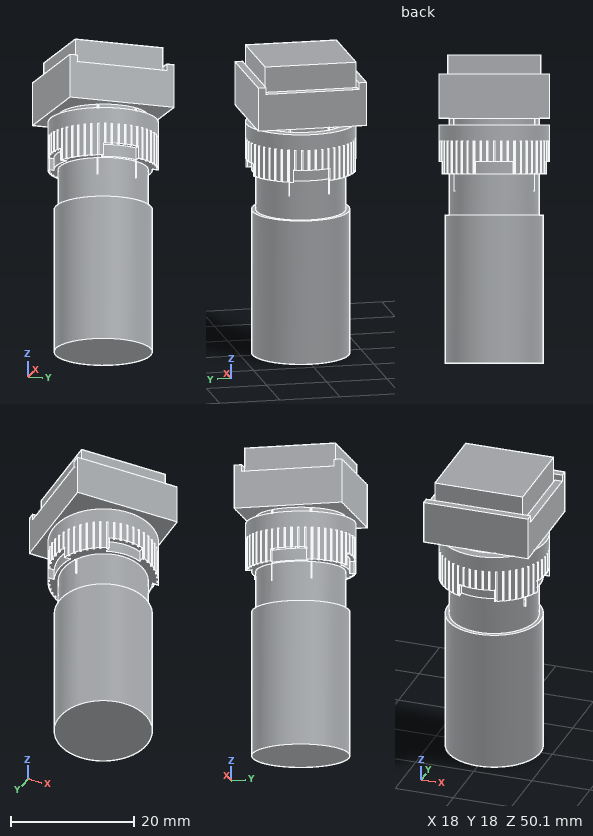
import cadquery as cq
import math

TOTAL_HEIGHT = 50.1
BARREL_TOP = 24.05
SLIT_BOTTOM = 28.0
COLLAR_BOTTOM = 30.75
NOTCH_TOP = 32.8
GROOVE_TOP = 36.1
COLLAR_TOP = 38.75
HEAD_BOTTOM = 39.8
RECESS_FLOOR = 45.9
HEAD_TOP = 47.0

BARREL_DIAMETER = 16.0
NECK_DIAMETER = 14.7

HEAD_SIDE = 18.0
RECESS_WIDTH = 15.45
CAP_SIDE = 15.15
CAP_GAP_DEPTH = 0.5

COLLAR_DIAMETER = HEAD_SIDE
SLEEVE_DIAMETER = BARREL_DIAMETER
NOTCH_WIDTH = 6.0
GROOVE_COUNT = 50
GROOVE_WIDTH = 0.225
GROOVE_DEPTH = 0.25

TONGUE_WIDTH = 6.7
LOWER_SLIT_WIDTH = 0.1
UPPER_SLIT_WIDTH = 0.25
SLIT_DEPTH = 0.2


def cylinder(diameter, bottom, top):
    return cq.Workplane("XY").workplane(offset=bottom).circle(diameter / 2).extrude(top - bottom)


def block(x_size, y_size, bottom, top):
    return cq.Workplane("XY").workplane(offset=bottom).rect(x_size, y_size).extrude(top - bottom)


def make_body():
    barrel = cylinder(BARREL_DIAMETER, 0, BARREL_TOP)
    neck = cylinder(NECK_DIAMETER, BARREL_TOP, HEAD_BOTTOM)
    lower_slits = make_slits(LOWER_SLIT_WIDTH, SLIT_BOTTOM, COLLAR_BOTTOM)
    upper_slits = make_slits(UPPER_SLIT_WIDTH, COLLAR_BOTTOM, HEAD_BOTTOM)
    return barrel.union(neck.cut(lower_slits).cut(upper_slits))


def make_slits(width, bottom, top):
    """Four slits whose outer walls lie at half the tongue width from the X axis."""
    outer_y = TONGUE_WIDTH / 2
    floor_x = math.sqrt((NECK_DIAMETER / 2) ** 2 - outer_y**2) - SLIT_DEPTH
    depth_along_x = NECK_DIAMETER / 2 - floor_x
    slit = block(depth_along_x, width, bottom, top)
    slit = slit.translate((floor_x + depth_along_x / 2, outer_y - width / 2, 0))
    side_pair = slit.union(slit.mirror("XZ"))
    return side_pair.union(side_pair.mirror("YZ"))


def make_collar():
    collar = cylinder(COLLAR_DIAMETER, COLLAR_BOTTOM, COLLAR_TOP)
    grooves = (
        cq.Workplane("XY")
        .workplane(offset=COLLAR_BOTTOM)
        .polarArray(COLLAR_DIAMETER / 2, -90, 360, GROOVE_COUNT)
        .rect(2 * GROOVE_DEPTH, GROOVE_WIDTH)
        .extrude(GROOVE_TOP - COLLAR_BOTTOM)
    )
    notches = block(COLLAR_DIAMETER, NOTCH_WIDTH, COLLAR_BOTTOM, NOTCH_TOP)
    notches = notches.union(notches.rotate((0, 0, 0), (0, 0, 1), 90))
    sleeve = cylinder(SLEEVE_DIAMETER, COLLAR_BOTTOM, COLLAR_TOP)
    bore = cylinder(NECK_DIAMETER, COLLAR_BOTTOM, COLLAR_TOP)
    return collar.cut(grooves).cut(notches).union(sleeve).cut(bore)


def make_head():
    head = block(HEAD_SIDE, HEAD_SIDE, HEAD_BOTTOM, HEAD_TOP)
    channel = block(HEAD_SIDE, RECESS_WIDTH, RECESS_FLOOR, HEAD_TOP)
    cap_pocket = block(RECESS_WIDTH, RECESS_WIDTH, RECESS_FLOOR - CAP_GAP_DEPTH, HEAD_TOP)
    cap = block(CAP_SIDE, CAP_SIDE, HEAD_BOTTOM, TOTAL_HEIGHT)
    return head.cut(channel).cut(cap_pocket).union(cap)


result = make_body().union(make_collar()).union(make_head())